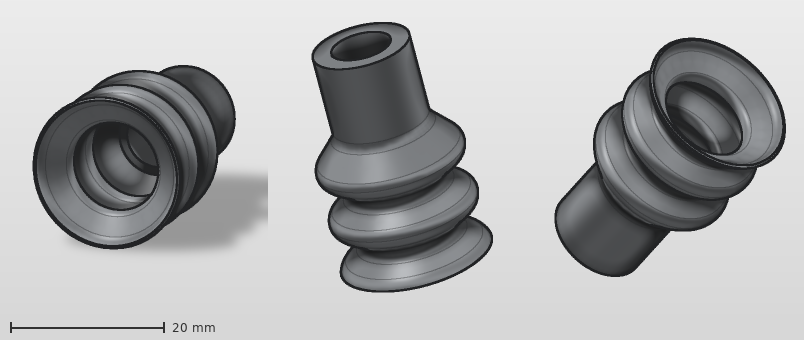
import cadquery as cq
import math

length = 31.0
tube_radius = 6.5
bore_radius = 4.0

pitch = 7.3
first_valley_y = 3.72
outer_crest_radius = 9.98
outer_crest_round = 1.65
outer_valley_radius = 6.95
outer_valley_round = 1.18
inner_crest_radius = 9.4
inner_crest_round = 1.52
inner_valley_radius = 5.92
inner_valley_round = 1.25

shoulder_start_y = 20.03
shoulder_round = 2.05
floor_radius = 5.08
floor_y = 18.9

lip_radius = 10.152
lip_inner_radius = 9.8
rim_height = 0.2
outer_flare_radius = 9.2
inner_flare_radius = 8.9

valleys = [first_valley_y, first_valley_y + pitch]
crests = [y + pitch / 2 for y in valleys]


def round_point(bend, angle):
    """Point on a bend (y, apex radius, signed rounding), turned from its apex.

    Crests have a positive rounding, valleys a negative one and sharp corners zero.
    """
    y, apex_radius, rounding = bend
    radius = apex_radius - rounding * (1 - math.cos(angle))
    return radius, y + abs(rounding) * math.sin(angle)


def flank_angle(bend, next_bend):
    """Angle to the axis of the straight flank tangent to two opposite bends."""
    radial_step = (next_bend[1] - next_bend[2]) - (bend[1] - bend[2])
    axial_step = next_bend[0] - bend[0]
    rounding_sum = abs(bend[2]) + abs(next_bend[2])
    center_distance = math.hypot(radial_step, axial_step)
    direction = math.atan2(axial_step, abs(radial_step))
    if (bend[2] > 0) == (radial_step < 0):
        direction = math.pi - direction
    return direction - math.acos(rounding_sum / center_distance)


def add_bend(profile, bend, start_angle, end_angle):
    """Straight flank to the bend, then its arc in two halves meeting at the apex."""
    profile = profile.lineTo(*round_point(bend, -start_angle))
    for first, last in ((-start_angle, 0), (0, end_angle)):
        if first != last:
            middle = round_point(bend, (first + last) / 2)
            profile = profile.threePointArc(middle, round_point(bend, last))
    return profile


def add_folds(profile, crest, valley, shoulder):
    """Alternating valleys and crests, from the lip up to the shoulder bend."""
    crest_radius, crest_round = crest
    valley_radius, valley_round = valley
    bends = []
    for valley_y, crest_y in zip(valleys, crests):
        bends.append((valley_y, valley_radius, -valley_round))
        bends.append((crest_y, crest_radius, crest_round))
    bends.append(shoulder)
    angles = [flank_angle(bend, following) for bend, following in zip(bends, bends[1:])]
    start_angles = [angles[0]] + angles
    for bend, start_angle, end_angle in zip(bends, start_angles, angles):
        profile = add_bend(profile, bend, start_angle, end_angle)
    if shoulder[2] == 0:
        return profile.lineTo(shoulder[1], shoulder[0])
    return add_bend(profile, shoulder, angles[-1], 0)


def add_flare(profile, rim, flare_radius, crest, valley):
    """Arc from the rim that runs tangentially into the first straight flank."""
    valley_bend = (valleys[0], valley[0], -valley[1])
    angle = flank_angle(valley_bend, (crests[0], crest[0], crest[1]))
    valley_end = round_point(valley_bend, -angle)
    flare_y = valley_end[1] - (flare_radius - valley_end[0]) / math.tan(angle)
    chord_angle = math.atan2(flare_y - rim[1], flare_radius - rim[0])
    flank_direction = math.atan2(math.cos(angle), -math.sin(angle))
    rim_direction = 2 * chord_angle - flank_direction
    tangent = (math.cos(rim_direction), math.sin(rim_direction))
    arc = cq.Edge.makeTangentArc(cq.Vector(*rim), cq.Vector(*tangent), cq.Vector(flare_radius, flare_y))
    return profile.threePointArc(arc.positionAt(0.5).toTuple()[:2], (flare_radius, flare_y))


def outer_body():
    crest = (outer_crest_radius, outer_crest_round)
    valley = (outer_valley_radius, outer_valley_round)
    rim = (lip_radius, rim_height)
    profile = cq.Workplane("XY").lineTo(lip_inner_radius, 0).lineTo(*rim)
    profile = add_flare(profile, rim, outer_flare_radius, crest, valley)
    profile = add_folds(profile, crest, valley, (shoulder_start_y, tube_radius, -shoulder_round))
    profile = profile.lineTo(tube_radius, length).lineTo(0, length).close()
    return profile.revolve(360, (0, 0), (0, 1))


def inner_cavity():
    crest = (inner_crest_radius, inner_crest_round)
    valley = (inner_valley_radius, inner_valley_round)
    rim = (lip_inner_radius, 0)
    profile = cq.Workplane("XY").lineTo(*rim)
    profile = add_flare(profile, rim, inner_flare_radius, crest, valley)
    profile = add_folds(profile, crest, valley, (floor_y, floor_radius, 0))
    profile = profile.lineTo(0, floor_y).close()
    return profile.revolve(360, (0, 0), (0, 1))


bore = cq.Workplane("XZ").circle(bore_radius).extrude(-length)
result = outer_body().cut(inner_cavity()).cut(bore)